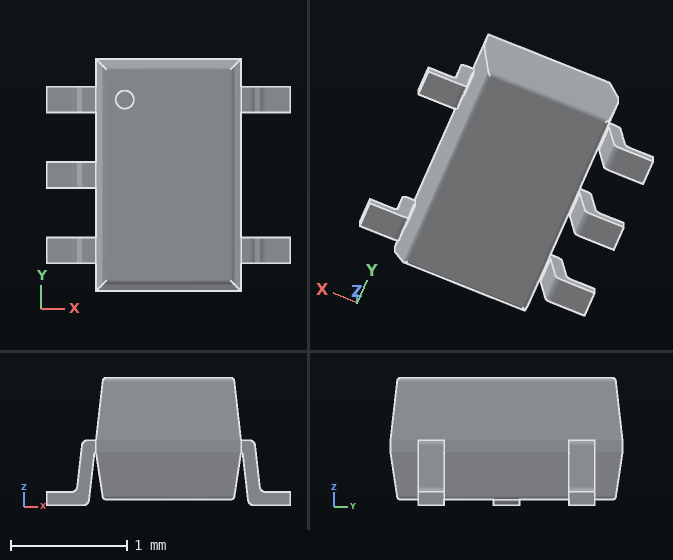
import cadquery as cq
import math

span = 2.1
body_width = 1.25
body_length = 2.0
body_top = 1.1
body_bottom = 0.05

waist_top = 0.563
waist_bottom = 0.454
draft_inset = 0.06
top_fillet = 0.035
bottom_fillet = 0.03

mark_diameter = 0.155
mark_depth = 0.155
mark_x = -0.375

lead_width = 0.225
lead_pitch = 0.649
lead_thickness = 0.115
lead_lean = 6.5
lead_bend = 0.052
foot_length = 0.258


def make_half(face_z, fillet):
    """Drafted half of the body, from the waist out to the flat face at face_z."""
    start_z = waist_top if face_z > waist_top else waist_bottom
    half = (
        cq.Workplane("XY", origin=(0, 0, start_z))
        .rect(body_width, body_length)
        .workplane(offset=face_z - start_z)
        .rect(body_width - 2 * draft_inset, body_length - 2 * draft_inset)
        .loft(ruled=True)
    )
    outer_face = ">Z" if face_z > waist_top else "<Z"
    return half.faces(outer_face).edges().fillet(fillet)


def make_body():
    waist = (
        cq.Workplane("XY", origin=(0, 0, waist_bottom))
        .rect(body_width, body_length)
        .extrude(waist_top - waist_bottom)
    )
    body = waist.union(make_half(body_top, top_fillet)).union(make_half(body_bottom, bottom_fillet))
    mark = (
        cq.Workplane("XY", origin=(mark_x, lead_pitch, body_top - mark_depth))
        .circle(mark_diameter / 2)
        .extrude(mark_depth)
    )
    return body.cut(mark)


def make_lead(y, side):
    """Lead centred at y; side is -1 for the -X row and +1 for the +X row."""
    lean = math.tan(math.radians(lead_lean))
    leg_run = lead_thickness / math.cos(math.radians(lead_lean))
    tip = -span / 2
    root = -body_width / 2
    underside = waist_top - lead_thickness

    def outer_x(z):
        return tip + foot_length + (z - lead_thickness) * lean

    def inner_x(z):
        return outer_x(z) + leg_run

    profile = [
        (tip, 0),
        (inner_x(0), 0),
        (inner_x(underside), underside),
        (root, underside),
        (root, waist_top),
        (outer_x(waist_top), waist_top),
        (outer_x(lead_thickness), lead_thickness),
        (tip, lead_thickness),
    ]
    lead = (
        cq.Workplane("XZ", origin=(0, y + lead_width / 2, 0))
        .polyline(profile)
        .close()
        .extrude(lead_width)
    )
    bends = [(inner_x(0), 0), (outer_x(waist_top), waist_top), (outer_x(lead_thickness), lead_thickness)]
    for x, z in bends:
        lead = lead.edges(cq.selectors.NearestToPointSelector((x, y, z))).fillet(lead_bend)
    return lead if side < 0 else lead.mirror("YZ")


body = make_body()

lead_places = [
    (-lead_pitch, -1),
    (0, -1),
    (lead_pitch, -1),
    (-lead_pitch, 1),
    (lead_pitch, 1),
]
leads = []
for lead_y, lead_side in lead_places:
    leads.append(make_lead(lead_y, lead_side).val())

result = cq.Compound.makeCompound([body.val(), *leads])